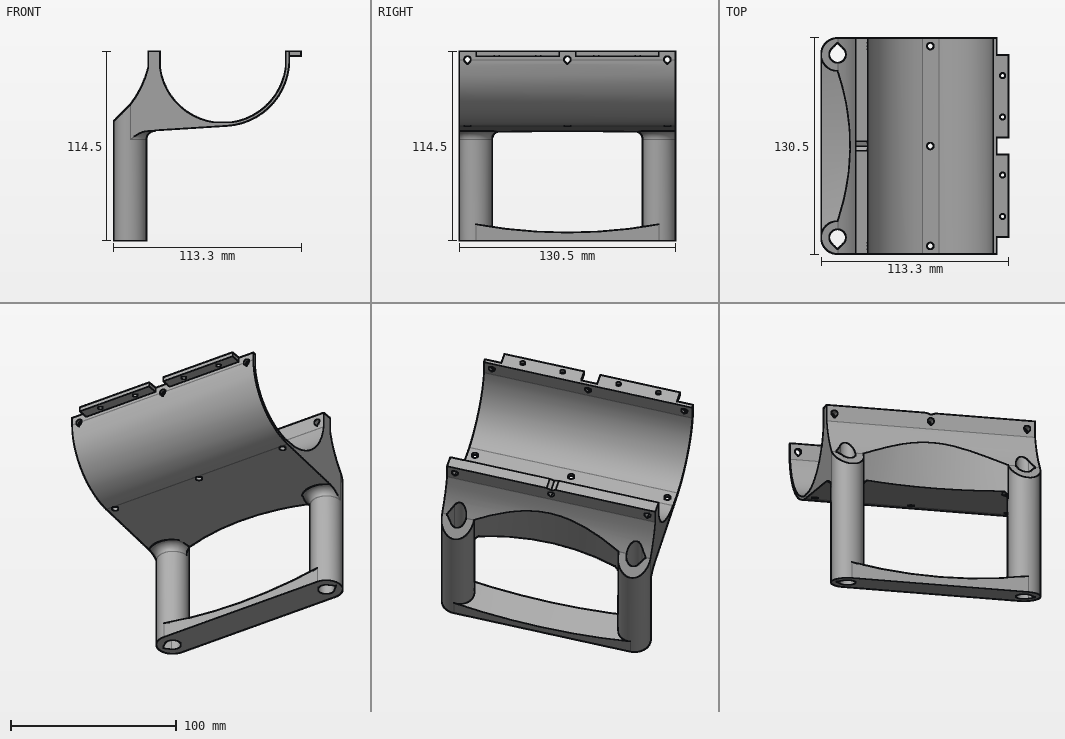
import cadquery as cq
import math


length = 130.5
overall_width = 113.3
overall_height = 114.5

flat_offset = 37.8
flat_width = 10.0
wall_radius = 40.2
bore_radius = math.hypot(flat_offset, flat_width / 2)
rim_z = flat_width / 2

base_z = rim_z - overall_height
tube_diameter = 20.0
tube_radius = tube_diameter / 2
tube_x = -56.0
front_x = tube_x - tube_radius
tube_y = length / 2 - tube_radius
tube_hole_radius = 5.0
bar_end_height = 10.0
bar_middle_height = 5.1

plate_thickness = 7.3
plate_x = -flat_offset - plate_thickness
shoulder_z = -27.3
front_sag = 1.3
underside_tilt = math.radians(3.6)
arch_depth = 7.6
root_fillet = 5.0
flare_overlap = 0.7

tab_length = 50.0
tab_gap = 10.0
tab_tip_x = front_x + overall_width
tab_thickness = 3.0
tab_hole_x = 43.6
tab_hole_diameter = 3.0

screw_radius = 2.0
screw_end_margin = 5.0
mark_width = 5.6
mark_depth = 1.0

tangent_x = wall_radius * math.sin(underside_tilt)
tangent_z = -wall_radius * math.cos(underside_tilt)


def underside_z(x):
    """Height of the sloping bracket underside at x."""
    return tangent_z - (tangent_x - x) * math.tan(underside_tilt)


def extrude_along_length(profile):
    return profile.extrude(length / 2, both=True)


def make_cross_section():
    """Bracket and cradle as a solid bar, before the bore and the planform trim."""
    run = plate_x - tube_x
    rise = -rim_z - shoulder_z
    chord = math.hypot(run, rise)
    front_middle = (
        (plate_x + tube_x) / 2 + front_sag * rise / chord,
        (shoulder_z - rim_z) / 2 - front_sag * run / chord,
    )
    diagonal = wall_radius * math.sqrt(0.5)
    return extrude_along_length(
        cq.Workplane("XZ")
        .moveTo(plate_x, rim_z)
        .lineTo(plate_x, -rim_z)
        .threePointArc(front_middle, (tube_x, shoulder_z))
        .lineTo(tube_x, underside_z(tube_x))
        .lineTo(tangent_x, tangent_z)
        .threePointArc((diagonal, -diagonal), (wall_radius, 0))
        .lineTo(wall_radius, rim_z)
        .close()
    )


def make_planform():
    """Bracket and cradle outline from above, arched between the tube axes."""
    inner_y = tube_y - tube_radius
    return (
        cq.Workplane("XY", origin=(0, 0, base_z))
        .moveTo(wall_radius, -length / 2)
        .lineTo(tube_x, -length / 2)
        .lineTo(tube_x, -inner_y)
        .threePointArc((tube_x + arch_depth, 0), (tube_x, inner_y))
        .lineTo(tube_x, length / 2)
        .lineTo(wall_radius, length / 2)
        .close()
        .extrude(rim_z - base_z)
    )


def make_tube(y):
    """Upright tube, its top cut at 45 degrees in front and flat inside the bracket."""
    outline = (
        cq.Workplane("XZ")
        .moveTo(front_x, base_z)
        .lineTo(front_x, shoulder_z - tube_radius)
        .lineTo(tube_x, shoulder_z)
        .lineTo(tube_x + tube_radius, shoulder_z)
        .lineTo(tube_x + tube_radius, base_z)
        .close()
    )
    cylinder = cq.Workplane("XY", origin=(tube_x, y, base_z)).circle(tube_radius).extrude(-base_z)
    return cylinder.intersect(extrude_along_length(outline))


def make_root_flare(y):
    """Collar that blends a tube into the bracket underside with a concave fillet."""
    top = underside_z(tube_x + tube_radius)
    flare_radius = tube_radius + root_fillet
    diagonal = root_fillet * math.sqrt(0.5)
    return (
        cq.Workplane("XZ", origin=(tube_x, y, 0))
        .moveTo(0, top - root_fillet)
        .lineTo(tube_radius, top - root_fillet)
        .threePointArc((flare_radius - diagonal, top - root_fillet + diagonal), (flare_radius, top))
        .lineTo(flare_radius, top + flare_overlap)
        .lineTo(0, top + flare_overlap)
        .close()
        .revolve(360, (0, 0, 0), (0, 1, 0))
    )


def make_bar():
    return (
        cq.Workplane("YZ", origin=(tube_x, 0, base_z))
        .moveTo(-tube_y, 0)
        .lineTo(-tube_y, bar_end_height)
        .threePointArc((0, bar_middle_height), (tube_y, bar_end_height))
        .lineTo(tube_y, 0)
        .close()
        .extrude(tube_radius, both=True)
    )


def make_bore():
    """Round bore with three flats, open at the top."""
    size = 2 * flat_offset
    bore = extrude_along_length(cq.Workplane("XZ").circle(bore_radius))
    limit = extrude_along_length(cq.Workplane("XZ").rect(size, size))
    opening = extrude_along_length(cq.Workplane("XZ").center(0, flat_offset / 2).rect(size, flat_offset))
    return bore.intersect(limit).union(opening)


def make_tabs():
    """Two hinge tabs outside the far rim, each with two holes."""
    root_x = (flat_offset + wall_radius) / 2
    tabs = cq.Workplane("XY", origin=(0, 0, rim_z - tab_thickness))
    centres = [side * (tab_gap + tab_length) / 2 for side in (-1, 1)]
    holes = [(tab_hole_x, y + step * tab_length / 4) for y in centres for step in (-1, 1)]
    return (
        tabs.pushPoints([((root_x + tab_tip_x) / 2, y) for y in centres])
        .rect(tab_tip_x - root_x, tab_length)
        .extrude(tab_thickness)
        .cut(tabs.pushPoints(holes).circle(tab_hole_diameter / 2).extrude(tab_thickness))
    )


def make_teardrop(plane, radius, depth):
    """Round hole with a 90 degree point along the plane's local Y, cut both ways."""
    diagonal = radius * math.sqrt(0.5)
    return (
        cq.Workplane(plane)
        .moveTo(-diagonal, diagonal)
        .threePointArc((0, -radius), (diagonal, diagonal))
        .lineTo(0, 2 * diagonal)
        .close()
        .extrude(depth, both=True)
    )


def make_centre_mark():
    """V groove across the top of the near rim plate."""
    return (
        cq.Workplane("YZ", origin=(plate_x, 0, rim_z))
        .moveTo(-mark_width / 2, 0)
        .lineTo(0, -mark_depth)
        .lineTo(mark_width / 2, 0)
        .close()
        .extrude(plate_thickness)
    )


planform = make_planform()
result = make_cross_section().intersect(planform)
for side in (-1, 1):
    result = result.union(make_tube(side * tube_y))
    result = result.union(make_root_flare(side * tube_y).intersect(planform))
result = result.union(make_bar()).union(make_tabs()).cut(make_bore())

for side in (-1, 1):
    tube_plane = cq.Plane(origin=(tube_x, side * tube_y, 0), xDir=(side, 0, 0), normal=(0, 0, 1))
    result = result.cut(make_teardrop(tube_plane, tube_hole_radius, -base_z))

screw_y = length / 2 - screw_end_margin
for y in (-screw_y, 0, screw_y):
    rim_plane = cq.Plane(origin=(0, y, 0), xDir=(0, -1, 0), normal=(1, 0, 0))
    result = result.cut(make_teardrop(rim_plane, screw_radius, -plate_x))
    floor_hole = cq.Workplane("XY", origin=(0, y, 0)).circle(screw_radius).extrude(base_z)
    result = result.cut(floor_hole)

result = result.cut(make_centre_mark())